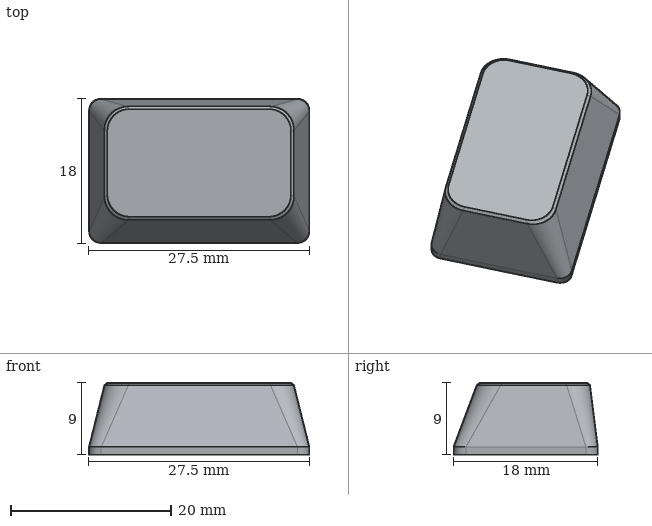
import cadquery as cq

BASE_LENGTH = 27.5
BASE_WIDTH = 18.0
BASE_CORNER_RADIUS = 1.5
SKIRT_HEIGHT = 1.0

TOTAL_HEIGHT = 9.0
TOP_LENGTH = 23.5
TOP_WIDTH = 14.0
TOP_CORNER_RADIUS = 3.0
TOP_SHIFT_Y = 1.0

TOP_CHAMFER = 0.3
SHOULDER_HEIGHT = TOTAL_HEIGHT - TOP_CHAMFER


def rounded_rectangle(length, width, radius, shift_y, height):
    """Rounded rectangle outline, shifted along Y, at the given height."""
    outline = cq.Sketch().rect(length, width).vertices().fillet(radius)
    return outline.moved(cq.Location(cq.Vector(0, shift_y, height)))


def side_outline(height):
    """Outline of the sloping sides, changing evenly from the skirt to the top."""
    rise = (height - SKIRT_HEIGHT) / (TOTAL_HEIGHT - SKIRT_HEIGHT)

    def between(lower, upper):
        return lower + rise * (upper - lower)

    return rounded_rectangle(
        between(BASE_LENGTH, TOP_LENGTH),
        between(BASE_WIDTH, TOP_WIDTH),
        between(BASE_CORNER_RADIUS, TOP_CORNER_RADIUS),
        between(0, TOP_SHIFT_Y),
        height,
    )


def make_skirt():
    """Vertical band that forms the lower rim."""
    base_outline = rounded_rectangle(BASE_LENGTH, BASE_WIDTH, BASE_CORNER_RADIUS, 0, 0)
    return cq.Workplane("XY").placeSketch(base_outline).extrude(SKIRT_HEIGHT)


def make_tapered_body():
    """Sloping sides from the skirt up to the start of the top chamfer."""
    lower = side_outline(SKIRT_HEIGHT)
    upper = side_outline(SHOULDER_HEIGHT)
    return cq.Workplane("XY").placeSketch(lower, upper).loft(ruled=True)


def make_crown():
    """Thin chamfered layer that carries the touch face."""
    lower = side_outline(SHOULDER_HEIGHT)
    upper = rounded_rectangle(
        TOP_LENGTH - 2 * TOP_CHAMFER,
        TOP_WIDTH - 2 * TOP_CHAMFER,
        TOP_CORNER_RADIUS - TOP_CHAMFER,
        TOP_SHIFT_Y,
        TOTAL_HEIGHT,
    )
    return cq.Workplane("XY").placeSketch(lower, upper).loft(ruled=True)


result = make_skirt().union(make_tapered_body()).union(make_crown())